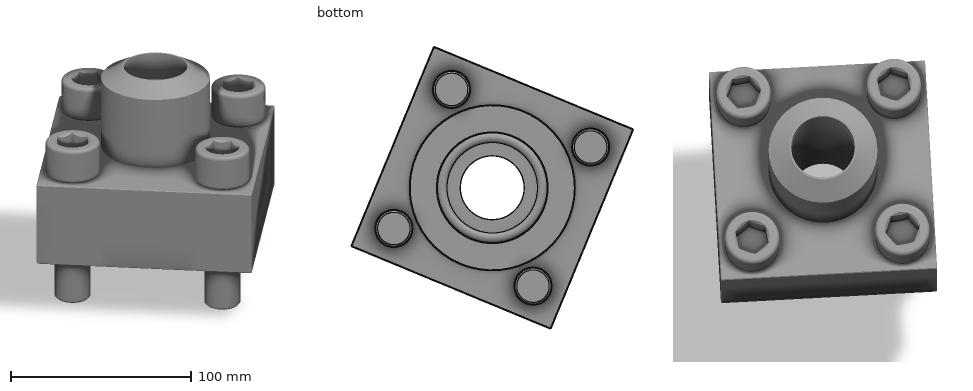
import cadquery as cq
import math

block_side = 120.0
block_height = 48.0
block_turn = 22.5
block_edge_chamfer = 0.47

neck_diameter = 60.3
neck_height = 48.0
neck_land_width = 1.0
weld_bevel_angle = 30.0
bore_diameter = 35.3

face_diameter = 92.0
face_height = 2.0
face_edge_chamfer = 0.5

ring_inner_diameter = 50.17
ring_section = 5.33
ring_projection = 1.4
groove_outer_diameter = 61.9

screw_count = 4
bolt_circle_diameter = 118.0
screw_hole_diameter = 21.0
shank_diameter = 20.0
shank_length = 75.0
shank_tip_chamfer = 1.0
head_diameter = 30.0
head_height = 20.0
head_top_fillet = 2.0
head_bottom_fillet = 2.0
socket_width = 17.0
socket_depth = 14.0
socket_lead_in_angle = 45.0

neck_top = block_height + neck_height
neck_radius = neck_diameter / 2
land_radius = bore_diameter / 2 + neck_land_width
bevel_height = (neck_radius - land_radius) * math.tan(math.radians(weld_bevel_angle))
groove_depth = ring_section - ring_projection
ring_center_radius = (ring_inner_diameter + ring_section) / 2
ring_center_z = -face_height - ring_projection + ring_section / 2
socket_corner_diameter = socket_width / math.cos(math.pi / 6)
lead_in_depth = socket_corner_diameter / 2 * math.tan(math.radians(socket_lead_in_angle))
first_screw_angle = block_turn + 45.0
screw_angles = [first_screw_angle + i * 360.0 / screw_count for i in range(screw_count)]


def make_neck():
    """Solid weld neck with its bevelled end, standing on the block."""
    half_section = [
        (0, block_height),
        (neck_radius, block_height),
        (neck_radius, neck_top - bevel_height),
        (land_radius, neck_top),
        (0, neck_top),
    ]
    return cq.Workplane("XZ").polyline(half_section).close().revolve(360, (0, 0), (0, 1))


def make_sealing_face():
    """Raised disc under the block, chamfered on its lower edge."""
    disc = cq.Workplane("XY").circle(face_diameter / 2).extrude(-face_height)
    return disc.faces("<Z").chamfer(face_edge_chamfer)


def make_groove():
    """Annular cutter for the O-ring groove."""
    return (
        cq.Workplane("XY", origin=(0, 0, -face_height))
        .circle(groove_outer_diameter / 2)
        .circle(ring_inner_diameter / 2)
        .extrude(groove_depth)
    )


def make_flange():
    """Block, neck and sealing face in one piece, with bore, groove and screw holes."""
    block = (
        cq.Workplane("XY")
        .rect(block_side, block_side)
        .extrude(block_height)
        .edges()
        .chamfer(block_edge_chamfer)
        .rotate((0, 0, 0), (0, 0, 1), block_turn)
    )
    bore = (
        cq.Workplane("XY", origin=(0, 0, -face_height))
        .circle(bore_diameter / 2)
        .extrude(face_height + neck_top)
    )
    screw_holes = (
        cq.Workplane("XY")
        .polarArray(bolt_circle_diameter / 2, first_screw_angle, 360, screw_count)
        .circle(screw_hole_diameter / 2)
        .extrude(block_height)
    )
    body = block.union(make_neck()).union(make_sealing_face())
    return body.cut(bore).cut(make_groove()).cut(screw_holes)


def make_o_ring():
    """Round-section seal resting in the groove and standing proud of the sealing face."""
    return (
        cq.Workplane("XZ")
        .center(ring_center_radius, ring_center_z)
        .circle(ring_section / 2)
        .revolve(360, (-ring_center_radius, 0), (-ring_center_radius, 1))
    )


def make_screw(angle):
    """Cap screw seated on the block at the given angle (degrees) on the bolt circle."""
    head_top = block_height + head_height
    head = (
        cq.Workplane("XY", origin=(0, 0, block_height))
        .circle(head_diameter / 2)
        .extrude(head_height)
        .faces(">Z")
        .edges()
        .fillet(head_top_fillet)
        .faces("<Z")
        .edges()
        .fillet(head_bottom_fillet)
    )
    shank = (
        cq.Workplane("XY", origin=(0, 0, block_height))
        .circle(shank_diameter / 2)
        .extrude(-shank_length)
        .faces("<Z")
        .chamfer(shank_tip_chamfer)
    )
    socket = (
        cq.Workplane("XY", origin=(0, 0, head_top))
        .polygon(6, socket_corner_diameter)
        .extrude(-socket_depth)
        .rotate((0, 0, 0), (0, 0, 1), angle - first_screw_angle)
    )
    lead_in = cq.Workplane(
        cq.Solid.makeCone(
            socket_corner_diameter / 2, 0, lead_in_depth, cq.Vector(0, 0, head_top), cq.Vector(0, 0, -1)
        )
    )
    screw = head.union(shank).cut(socket).cut(lead_in)
    x = bolt_circle_diameter / 2 * math.cos(math.radians(angle))
    y = bolt_circle_diameter / 2 * math.sin(math.radians(angle))
    return screw.translate((x, y, 0))


flange = make_flange()
o_ring = make_o_ring()
screws = [make_screw(angle) for angle in screw_angles]

result = cq.Compound.makeCompound([flange.val(), o_ring.val(), *[screw.val() for screw in screws]])